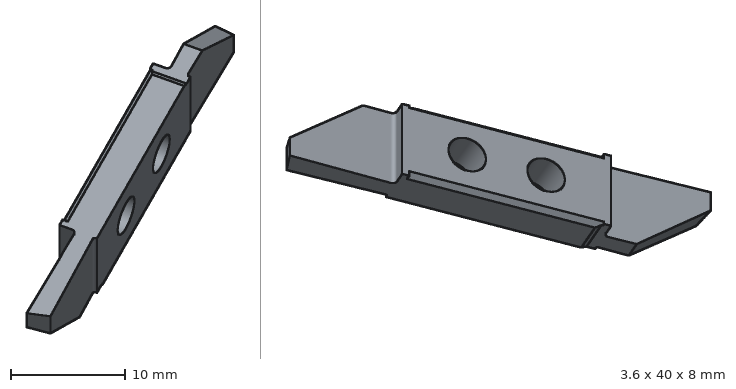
import math

import cadquery as cq


BODY_WIDTH = 3.6
BODY_LENGTH = 19.85
HEIGHT = 8.0

OVERALL_LENGTH = 40.0
TIP_LEFT_X = -0.39
TIP_WIDTH = 2.04
LEAD_ANGLE = 15.0
BACK_TAPER = 1.0
TIP_HEIGHT = 2.0
SLOPE_FOOT_Y = -13.0
ROOT_OVERLAP = 1.0
LEFT_ROOT_RADIUS = 0.4
RIGHT_ROOT_RADIUS = 0.2

UNDERSIDE_STEP = 0.25
RAMP_OUTER_Y = -9.1
RAMP_INNER_Y = -8.6

CHAMFER = 0.5
CHAMFER_LENGTH = 18.5

HOLE_DIAMETER = 3.55
HOLE_SPACING = 7.5

TOP_Z = HEIGHT / 2
BOTTOM_Z = -HEIGHT / 2
LEFT_X = -BODY_WIDTH / 2
RIGHT_X = BODY_WIDTH / 2
BODY_END_Y = -BODY_LENGTH / 2
TIP_Y = -OVERALL_LENGTH / 2

SEARCH_MARGIN = 0.1
CUTTER_CLEARANCE = 1.0


def tangent(angle):
    return math.tan(math.radians(angle))


def make_half_body():
    return cq.Workplane("XY").box(BODY_WIDTH, BODY_LENGTH / 2, HEIGHT).translate((0, BODY_END_Y / 2, 0))


def make_blade():
    """Tapered blade at the -Y end, with its cutting edge on top."""
    root_y = BODY_END_Y + ROOT_OVERLAP
    right_tip_y = TIP_Y + TIP_WIDTH * tangent(LEAD_ANGLE)
    right_tip_x = TIP_LEFT_X + TIP_WIDTH
    outline = [
        (TIP_LEFT_X, TIP_Y),
        (right_tip_x, right_tip_y),
        (right_tip_x - (root_y - right_tip_y) * tangent(BACK_TAPER), root_y),
        (TIP_LEFT_X + (root_y - TIP_Y) * tangent(BACK_TAPER), root_y),
    ]
    return cq.Workplane("XY", origin=(0, 0, TOP_Z)).polyline(outline).close().extrude(-HEIGHT)


def round_blade_root(half):
    """Fillet the two upright inside corners where the blade meets the body."""
    blade_middle_x = TIP_LEFT_X + TIP_WIDTH / 2
    for side_x, radius in ((LEFT_X, LEFT_ROOT_RADIUS), (RIGHT_X, RIGHT_ROOT_RADIUS)):
        search_x = side_x - math.copysign(SEARCH_MARGIN, side_x)
        search_box = cq.selectors.BoxSelector(
            (search_x, BODY_END_Y - SEARCH_MARGIN, -SEARCH_MARGIN),
            (blade_middle_x, BODY_END_Y + SEARCH_MARGIN, SEARCH_MARGIN),
        )
        half = half.edges(search_box).fillet(radius)
    return half


def make_underside_cutter():
    """Prism below the sloped tip, the raised underside and the ramp."""
    raised_z = BOTTOM_Z + UNDERSIDE_STEP
    slope_top_z = TOP_Z - TIP_HEIGHT
    slope = (slope_top_z - raised_z) / (SLOPE_FOOT_Y - TIP_Y)
    profile = [
        (TIP_Y - CUTTER_CLEARANCE, slope_top_z + CUTTER_CLEARANCE * slope),
        (SLOPE_FOOT_Y, raised_z),
        (RAMP_OUTER_Y, raised_z),
        (RAMP_INNER_Y, BOTTOM_Z),
        (RAMP_INNER_Y, BOTTOM_Z - CUTTER_CLEARANCE),
        (TIP_Y - CUTTER_CLEARANCE, BOTTOM_Z - CUTTER_CLEARANCE),
    ]
    return cq.Workplane("YZ").polyline(profile).close().extrude(BODY_WIDTH, both=True)


def make_chamfer_cutter(edge_z):
    """Triangular prism along the -X edge of the body at height edge_z."""
    inner_z = edge_z - math.copysign(CHAMFER, edge_z)
    return (
        cq.Workplane("XZ")
        .polyline([(LEFT_X, edge_z), (LEFT_X + CHAMFER, edge_z), (LEFT_X, inner_z)])
        .close()
        .extrude(CHAMFER_LENGTH / 2, both=True)
    )


def make_holes():
    return (
        cq.Workplane("YZ")
        .pushPoints([(-HOLE_SPACING / 2, 0), (HOLE_SPACING / 2, 0)])
        .circle(HOLE_DIAMETER / 2)
        .extrude(BODY_WIDTH, both=True)
    )


half_insert = round_blade_root(make_half_body().union(make_blade()))
half_insert = half_insert.cut(make_underside_cutter())
other_half = half_insert.rotate((0, 0, 0), (1, 0, 0), 180)

result = half_insert.union(other_half).cut(make_holes())
for edge_height in (TOP_Z, BOTTOM_Z):
    result = result.cut(make_chamfer_cutter(edge_height))
result = result.clean()